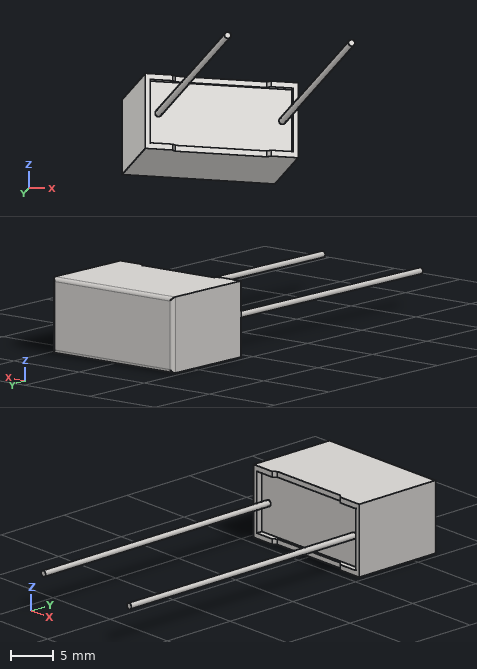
import cadquery as cq

case_width = 18.5
case_height = 9.2
total_length = 47.6
case_depth = 12.5

side_wall = 0.6
top_wall = 0.7
back_wall = top_wall
back_fillet = 0.48
notch_depth = 0.45
notch_mouth_width = 11.9
notch_floor_width = notch_mouth_width - 2 * notch_depth

filling_recess = 0.8
lead_diameter = 0.8
lead_spacing = 15.0

cavity_width = case_width - 2 * side_wall
cavity_height = case_height - 2 * top_wall
cavity_depth = case_depth - back_wall
lead_tip_y = case_depth - total_length


def centred_block(width, height, y_start, y_end):
    """Block centred on X and Z, running from y_start to y_end."""
    block = cq.Workplane("XY").box(width, y_end - y_start, height, centered=(True, False, True))
    return block.translate((0, y_start, 0))


def make_case():
    """Open box with rounded back edges and a shallow notch in both long rims."""
    shell = centred_block(case_width, case_height, 0, case_depth)
    shell = shell.faces(">Y").edges().fillet(back_fillet)
    shell = shell.cut(centred_block(cavity_width, cavity_height, 0, cavity_depth))
    notch = (
        cq.Workplane("XY")
        .moveTo(-notch_mouth_width / 2, 0)
        .lineTo(-notch_floor_width / 2, notch_depth)
        .lineTo(notch_floor_width / 2, notch_depth)
        .lineTo(notch_mouth_width / 2, 0)
        .close()
        .extrude(case_height / 2, both=True)
    )
    return shell.cut(notch)


def make_filling():
    """Potting block that fills the cavity behind the recessed face."""
    return centred_block(cavity_width, cavity_height, filling_recess, cavity_depth)


def make_lead(x):
    """Round wire standing on the filling face and running out to the tip."""
    wire = cq.Workplane("XZ").circle(lead_diameter / 2).extrude(filling_recess - lead_tip_y)
    return wire.translate((x, filling_recess, 0))


case = make_case()
filling = make_filling()
leads = [make_lead(side * lead_spacing / 2).val() for side in (-1, 1)]

result = cq.Compound.makeCompound([case.val(), filling.val(), *leads])